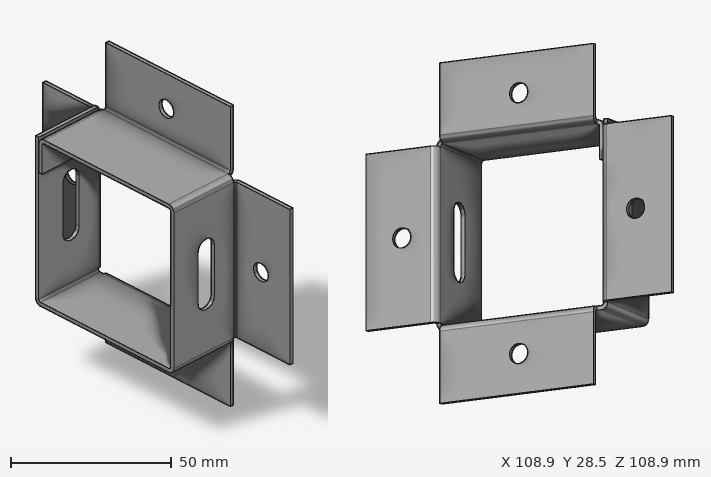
import cadquery as cq

sheet = 1.4
inner_bend = 0.9
outer_bend = inner_bend + sheet

flange_span = 108.9
depth = 28.5
tube_side = 61.0
lap_length = 12.7
lap_gap = 0.1

hole_diameter = 6.4
hole_offset = 41.7
slot_width = 7.1
slot_length = 25.6

half_side = tube_side / 2
half_span = flange_span / 2
front_y = -depth / 2
back_y = depth / 2
wall_end_y = back_y - outer_bend
lap_x = -half_side + sheet + lap_gap
straight_end = half_side - outer_bend
top_start_x = lap_x + outer_bend


def plate(x_range, y_range, z_range):
    """Rectangular block between the given limits."""
    size = [high - low for low, high in (x_range, y_range, z_range)]
    corner = (x_range[0], y_range[0], z_range[0])
    return cq.Workplane("XY").box(*size, centered=False).translate(corner)


def rounded_block(left, right, bottom, top, radius):
    """Block along the tube walls with its four lengthwise edges rounded."""
    block = plate((left, right), (front_y, wall_end_y), (bottom, top))
    return block.edges("|Y").fillet(radius)


def make_tube():
    """Strip bent round a square, closed by the left wall lapping over the tab."""
    walls_y = (front_y, wall_end_y)
    inner = half_side - sheet

    ring = rounded_block(-half_side, half_side, -half_side, half_side, outer_bend)
    ring = ring.cut(rounded_block(-inner, inner, -inner, inner, inner_bend))
    ring = ring.cut(plate((-half_side, 0), walls_y, (0, half_side)))
    left_wall = plate((-half_side, -inner), walls_y, (0, half_side))

    lap = rounded_block(lap_x, half_side, -half_side, half_side, outer_bend)
    lap = lap.cut(rounded_block(lap_x + sheet, inner, -inner, inner, inner_bend))
    lap = lap.intersect(plate((lap_x, 0), walls_y, (half_side - lap_length, half_side)))
    return ring.union(left_wall).union(lap)


def make_flange(start, end, turn):
    """Flange bent outward from the right wall, spanning start to end, then turned about Y."""
    inner = half_side - sheet
    bend_x = inner + outer_bend
    diagonal = 0.5 ** 0.5
    outer_mid = (bend_x - outer_bend * diagonal, wall_end_y + outer_bend * diagonal)
    inner_mid = (bend_x - inner_bend * diagonal, wall_end_y + inner_bend * diagonal)
    flange = (
        cq.Workplane("XY")
        .moveTo(inner, wall_end_y)
        .threePointArc(outer_mid, (bend_x, back_y))
        .lineTo(half_span, back_y)
        .lineTo(half_span, back_y - sheet)
        .lineTo(bend_x, back_y - sheet)
        .threePointArc(inner_mid, (half_side, wall_end_y))
        .close()
        .extrude(end - start)
        .translate((0, 0, start))
    )
    hole = (
        cq.Workplane("XZ", origin=(hole_offset, back_y, 0))
        .circle(hole_diameter / 2)
        .extrude(sheet)
    )
    return flange.cut(hole).rotate((0, 0, 0), (0, 1, 0), turn)


def make_slots():
    """Cutter for the upright slots through the left and right walls."""
    return (
        cq.Workplane("YZ")
        .slot2D(slot_length, slot_width, 90)
        .extrude(half_side, both=True)
    )


result = make_tube().cut(make_slots())

result = result.union(make_flange(-straight_end, straight_end, 0))
result = result.union(make_flange(-straight_end, straight_end, 180))
result = result.union(make_flange(-straight_end, -top_start_x, -90))
result = result.union(make_flange(top_start_x, straight_end, 90))